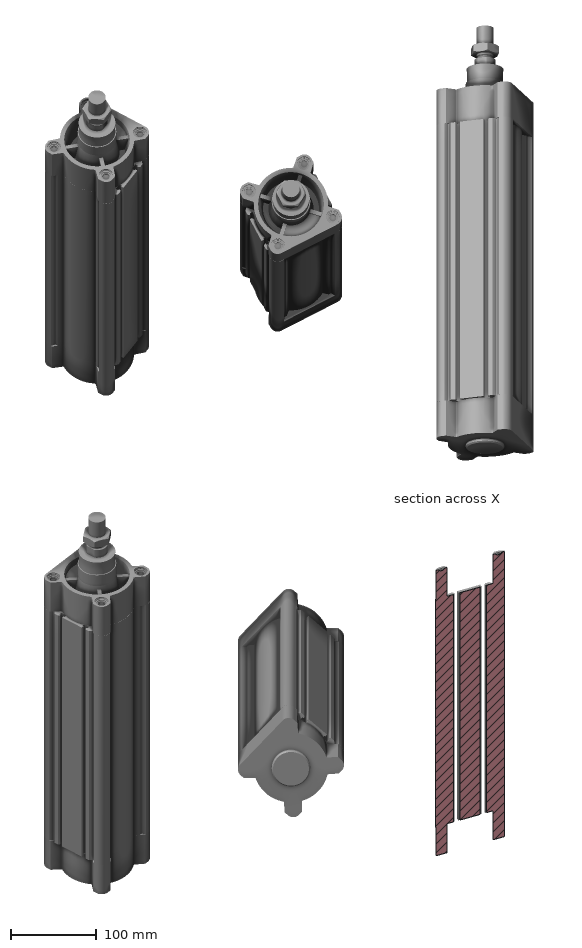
import cadquery as cq
import math

SIDE = 93.0
HALF = SIDE / 2
CAP_INSET = 0.1
CAP_HALF = HALF - CAP_INSET
LENGTH = 517.5

REAR_SPIGOT_HEIGHT = 4.0
CAP_HEIGHT = 43.5
BARREL_BOTTOM = REAR_SPIGOT_HEIGHT + CAP_HEIGHT
BARREL_TOP = 389.0
CAP_TOP = BARREL_TOP + CAP_HEIGHT
COLLAR_TOP = 449.0
WIPER_TOP = 467.0

BULGE_RADIUS = 43.5
CORNER_RADIUS = 9.5
EAR_FLAT_END = 32.0
EAR_ROOT = 22.0
EAR_ROOT_FILLET = 1.5

COLLAR_DIAMETER = 45.0
WIPER_DIAMETER = 43.0
WIPER_WAIST_DIAMETER = 42.0
SPIGOT_CHAMFER = 1.5

POCKET_RADIUS = 38.5
POCKET_DEPTH = 26.0
POCKET_FLOOR_RADIUS = 32.5
HUB_FLOOR_RADIUS = 26.5
SHALLOW_DEPTH = 8.0
RIB_DROP = 4.5
RIB_WIDTH = 4.5

SCREW_OFFSET = 36.0
SCREW_STEPS = [(16.0, 1.5), (15.0, 2.5), (12.0, 3.5), (9.0, 4.5), (8.0, 5.5)]

GROOVE_FLAT_END = 33.5
GROOVE_FLOOR_START = 30.5
GROOVE_FLOOR_END = 27.5
GROOVE_DEPTH = 4.5
SIDE_GROOVE_FLOOR_END = 29.0
SIDE_GROOVE_END = 26.0
SLOT_CENTRE = 17.0
SLOT_MOUTH = 4.5
SLOT_WIDTH = 8.0
SLOT_CHAMFER = 1.5
SLOT_LIP = 3.0
SLOT_DEPTH = 6.5

ROD_DIAMETER = 25.0
ROD_FLATS = 22.0
THREAD_DIAMETER = 20.0
UNDERCUT_DIAMETER = 18.0
SHOULDER = 478.5
UNDERCUT_TOP = 481.5
THREAD_CHAMFER = (THREAD_DIAMETER - UNDERCUT_DIAMETER) / 2
HEX_SIDES = 6
NUT_BOTTOM = 484.5
NUT_HEIGHT = 10.5
NUT_FLATS = 30.0
NUT_CHAMFER_ANGLE = 30


def bulge_at(radius, x):
    """Distance from the axis plane to a bulge of the given radius at the offset x."""
    return math.sqrt(radius**2 - x**2)


def corner_blank(side, height):
    """Square block with rounded corners."""
    block = cq.Workplane("XY").rect(side, side).extrude(height)
    return block.edges("|Z").fillet(CORNER_RADIUS)


def cap_relief():
    """Material removed from the -Y side of the square to leave two ears and the bulge."""
    radius = BULGE_RADIUS - CAP_INSET
    root = bulge_at(radius, EAR_ROOT)
    relief = (
        cq.Workplane("XY")
        .moveTo(-EAR_FLAT_END, -CAP_HALF)
        .lineTo(-EAR_ROOT, -root)
        .threePointArc((0, -radius), (EAR_ROOT, -root))
        .lineTo(EAR_FLAT_END, -CAP_HALF)
        .close()
        .extrude(CAP_HEIGHT)
    )
    return relief.edges("|Z and >Y").fillet(EAR_ROOT_FILLET)


def cap():
    """Cap with a flat +Y side and bulges between the ears on the other sides."""
    body = corner_blank(2 * CAP_HALF, CAP_HEIGHT)
    relief = cap_relief()
    for angle in (-90, 0, 90):
        body = body.cut(relief.rotate((0, 0, 0), (0, 0, 1), angle))
    return body


def round_side_relief(height):
    """Flat-bottomed grooves and the bulge on the -Y side of the barrel."""
    floor = HALF - GROOVE_DEPTH
    root = bulge_at(BULGE_RADIUS, EAR_ROOT)
    return (
        cq.Workplane("XY")
        .moveTo(-GROOVE_FLAT_END, -HALF)
        .lineTo(-GROOVE_FLOOR_START, -floor)
        .lineTo(-GROOVE_FLOOR_END, -floor)
        .lineTo(-EAR_ROOT, -root)
        .threePointArc((0, -BULGE_RADIUS), (EAR_ROOT, -root))
        .lineTo(GROOVE_FLOOR_END, -floor)
        .lineTo(GROOVE_FLOOR_START, -floor)
        .lineTo(GROOVE_FLAT_END, -HALF)
        .close()
        .extrude(height)
    )


def slotted_side_relief(height):
    """Corner groove and T-slot in the +Y half of the -X side of the barrel.

    The slot mouth is chamfered on the side near the groove.
    """
    groove_depth = SIDE_GROOVE_FLOOR_END - SIDE_GROOVE_END
    groove = (
        cq.Workplane("XY")
        .moveTo(-HALF, GROOVE_FLAT_END)
        .lineTo(-HALF + groove_depth, GROOVE_FLOOR_START)
        .lineTo(-HALF + groove_depth, SIDE_GROOVE_FLOOR_END)
        .lineTo(-HALF, SIDE_GROOVE_END)
        .close()
        .extrude(height)
    )
    mouth = (
        cq.Workplane("XY")
        .moveTo(0, -SLOT_MOUTH / 2)
        .lineTo(SLOT_DEPTH, -SLOT_MOUTH / 2)
        .lineTo(SLOT_DEPTH, SLOT_MOUTH / 2)
        .lineTo(SLOT_CHAMFER, SLOT_MOUTH / 2)
        .lineTo(0, SLOT_MOUTH / 2 + SLOT_CHAMFER)
        .close()
        .extrude(height)
    )
    inner_depth = SLOT_DEPTH - SLOT_LIP
    inner = cq.Workplane("XY").box(inner_depth, SLOT_WIDTH, height, centered=(False, True, False))
    slot = mouth.union(inner.translate((SLOT_LIP, 0, 0)))
    return groove.union(slot.translate((-HALF, SLOT_CENTRE, 0)))


def barrel():
    """Barrel section with rounded +Y and -Y sides and slotted +X and -X sides."""
    height = BARREL_TOP - BARREL_BOTTOM
    body = corner_blank(SIDE, height)
    round_side = round_side_relief(height)
    slotted = slotted_side_relief(height)
    body = body.cut(round_side).cut(round_side.mirror("XZ"))
    for half in (slotted, slotted.mirror("XZ")):
        body = body.cut(half).cut(half.mirror("YZ"))
    return body


def pocket_ring():
    """Ring with drafted walls, open at the face of the head cap."""
    return (
        cq.Workplane("XZ")
        .moveTo(COLLAR_DIAMETER / 2, CAP_TOP)
        .lineTo(POCKET_RADIUS, CAP_TOP)
        .lineTo(POCKET_FLOOR_RADIUS, CAP_TOP - POCKET_DEPTH)
        .lineTo(HUB_FLOOR_RADIUS, CAP_TOP - POCKET_DEPTH)
        .close()
        .revolve()
    )


def head_pockets():
    """Three deep pockets and a shallow one at +Y, parted by diagonal ribs."""
    ring = pocket_ring()
    floor = CAP_TOP - POCKET_DEPTH
    for angle in (45, 135):
        rib = (
            cq.Workplane("XY")
            .workplane(offset=floor)
            .rect(SIDE, RIB_WIDTH)
            .extrude(POCKET_DEPTH - RIB_DROP)
        )
        ring = ring.cut(rib.rotate((0, 0, 0), (0, 0, 1), angle))
    filler = (
        cq.Workplane("XY")
        .workplane(offset=floor)
        .polyline([(0, 0), (SIDE, SIDE), (-SIDE, SIDE)])
        .close()
        .extrude(POCKET_DEPTH - SHALLOW_DEPTH)
    )
    return ring.cut(filler)


def screw_hole():
    """Stepped recess on the axis of a tie-rod screw, sunk from z = 0."""
    hole = cq.Workplane("XY")
    for diameter, depth in SCREW_STEPS:
        hole = hole.union(cq.Workplane("XY").circle(diameter / 2).extrude(-depth))
    return hole


def wiper():
    """Seal ring with a slightly waisted side, standing on the collar."""
    middle = (COLLAR_TOP + WIPER_TOP) / 2
    return (
        cq.Workplane("XZ")
        .moveTo(0, COLLAR_TOP)
        .lineTo(WIPER_DIAMETER / 2, COLLAR_TOP)
        .threePointArc((WIPER_WAIST_DIAMETER / 2, middle), (WIPER_DIAMETER / 2, WIPER_TOP))
        .lineTo(0, WIPER_TOP)
        .close()
        .revolve()
    )


def make_rod():
    """Piston rod with wrench flats, undercut and threaded end."""
    shank_length = SHOULDER - BARREL_TOP
    shank = cq.Workplane("XY").circle(ROD_DIAMETER / 2).extrude(shank_length)
    flats = (
        cq.Workplane("XY")
        .workplane(offset=WIPER_TOP - BARREL_TOP)
        .rect(ROD_FLATS, ROD_DIAMETER)
        .extrude(SHOULDER - WIPER_TOP)
    )
    round_part = cq.Workplane("XY").circle(ROD_DIAMETER / 2).extrude(WIPER_TOP - BARREL_TOP)
    shank = shank.intersect(round_part.union(flats))
    undercut = (
        cq.Workplane("XY")
        .workplane(offset=shank_length)
        .circle(UNDERCUT_DIAMETER / 2)
        .extrude(UNDERCUT_TOP - SHOULDER)
    )
    thread = (
        cq.Workplane("XY")
        .workplane(offset=UNDERCUT_TOP - BARREL_TOP)
        .circle(THREAD_DIAMETER / 2)
        .extrude(LENGTH - UNDERCUT_TOP)
        .faces("<Z")
        .chamfer(THREAD_CHAMFER)
    )
    return shank.union(undercut).union(thread).translate((0, 0, BARREL_TOP))


def make_housing():
    """Barrel, both caps and the collars as one solid with a bore for the rod."""
    rear_spigot = (
        cq.Workplane("XY")
        .circle(COLLAR_DIAMETER / 2)
        .extrude(REAR_SPIGOT_HEIGHT)
        .faces("<Z")
        .chamfer(SPIGOT_CHAMFER)
    )
    collar = (
        cq.Workplane("XY")
        .workplane(offset=CAP_TOP)
        .circle(COLLAR_DIAMETER / 2)
        .extrude(COLLAR_TOP - CAP_TOP)
    )
    body = barrel().translate((0, 0, BARREL_BOTTOM))
    body = body.union(cap().translate((0, 0, REAR_SPIGOT_HEIGHT)))
    body = body.union(cap().translate((0, 0, BARREL_TOP)))
    body = body.union(rear_spigot).union(collar).union(wiper())
    body = body.cut(head_pockets())
    for x in (-SCREW_OFFSET, SCREW_OFFSET):
        for y in (-SCREW_OFFSET, SCREW_OFFSET):
            body = body.cut(screw_hole().translate((x, y, CAP_TOP)))
    bore = (
        cq.Workplane("XY")
        .workplane(offset=BARREL_TOP)
        .circle(ROD_DIAMETER / 2)
        .extrude(LENGTH - BARREL_TOP)
    )
    return body.cut(bore)


def make_nut():
    """Hexagon nut with corners along Y, chamfered on both faces."""
    corner_radius = NUT_FLATS / 2 / math.cos(math.pi / HEX_SIDES)
    drop = (corner_radius - NUT_FLATS / 2) * math.tan(math.radians(NUT_CHAMFER_ANGLE))
    hexagon = (
        cq.Workplane("XY")
        .polygon(HEX_SIDES, 2 * corner_radius)
        .extrude(NUT_HEIGHT)
        .rotate((0, 0, 0), (0, 0, 1), 180 / HEX_SIDES)
    )
    envelope = (
        cq.Workplane("XZ")
        .polyline(
            [
                (0, 0),
                (NUT_FLATS / 2, 0),
                (corner_radius, drop),
                (corner_radius, NUT_HEIGHT - drop),
                (NUT_FLATS / 2, NUT_HEIGHT),
                (0, NUT_HEIGHT),
            ]
        )
        .close()
        .revolve()
    )
    thread = cq.Workplane("XY").circle(THREAD_DIAMETER / 2).extrude(NUT_HEIGHT)
    return hexagon.intersect(envelope).cut(thread).translate((0, 0, NUT_BOTTOM))


housing = make_housing()
rod = make_rod()
nut = make_nut()

result = cq.Compound.makeCompound([housing.val(), rod.val(), nut.val()])